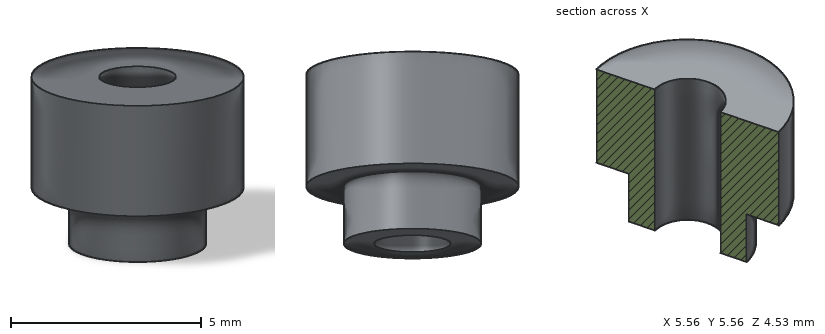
import cadquery as cq

head_diameter = 5.56
spigot_diameter = 3.6
bore_diameter = 2.0
total_height = 4.53
head_height = 3.0
spigot_height = total_height - head_height

spigot = cq.Workplane("XY").circle(spigot_diameter / 2).extrude(spigot_height)

head = (
    cq.Workplane("XY")
    .workplane(offset=spigot_height)
    .circle(head_diameter / 2)
    .extrude(head_height)
)

bore = cq.Workplane("XY").circle(bore_diameter / 2).extrude(total_height)

result = spigot.union(head).cut(bore)